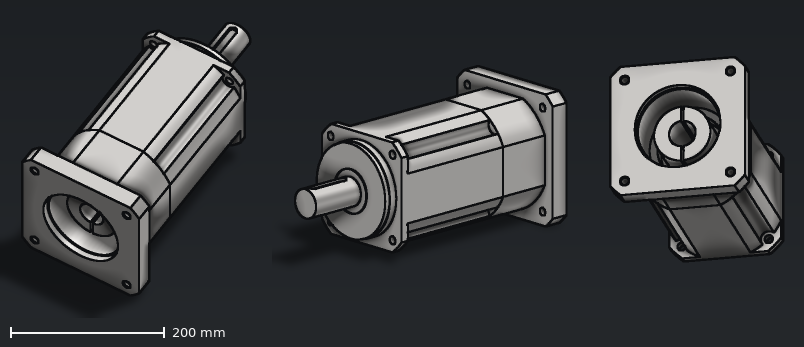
import cadquery as cq


total_length = 384.5
plate_thickness = 25.0
adapter_length = 100.0
output_flange_start = 272.0
output_flange_thickness = 11.5
output_flange_end = output_flange_start + output_flange_thickness
pilot_step = 295.0
pilot_end = 302.5
collar_end = 303.8

plate_size = 180.0
plate_corner_radius = 118.0
body_size = 150.0
body_corner_radius = 82.3
output_flange_corner_radius = 94.5

motor_hole_spacing = 141.5
motor_hole_diameter = 10.5
motor_hole_chamfer = 0.95
chamfer_angle = 45

motor_pilot_radius = 57.3
motor_pilot_depth = 10.0
adapter_bore_radius = 55.5
adapter_floor_depth = 77.0
adapter_floor_hole_radius = 45.0

hub_face = 27.0
hub_radius = 37.5
hub_bore_radius = 17.5
hub_slot_width = 3.5
hub_neck_radius = 34.2
hub_neck_length = 19.2
hub_neck_end = adapter_length + hub_neck_length

mounting_hole_spacing = 116.5
groove_radius = 10.8
mounting_hole_diameter = 10.8

pilot_radius = 65.5
pilot_tip_radius = 64.5
collar_radius = 30.0
shaft_radius = 20.0
keyway_width = 12.0
keyway_length = 65.7
keyway_depth = 5.0
keyway_end_gap = 6.0


def face_at(y):
    """Workplane across the axis at y; extrusions run toward +Y."""
    return cq.Workplane(cq.Plane(origin=(0, y, 0), xDir=(-1, 0, 0), normal=(0, 1, 0)))


def disc(radius, start, end):
    return face_at(start).circle(radius).extrude(end - start)


def trimmed_square(size, corner_radius, start, end):
    square = face_at(start).rect(size, size).extrude(end - start)
    return square.intersect(disc(corner_radius, start, end))


def corner_cylinders(spacing, radius, start, end):
    corners = face_at(start).rect(spacing, spacing, forConstruction=True).vertices()
    return corners.circle(radius).extrude(end - start)


def make_motor_hole_chamfers():
    mouth_radius = motor_hole_diameter / 2 + motor_hole_chamfer
    corners = face_at(0).rect(motor_hole_spacing, motor_hole_spacing, forConstruction=True).vertices()
    return corners.circle(mouth_radius).extrude(motor_hole_chamfer, taper=chamfer_angle)


def make_adapter():
    plate = trimmed_square(plate_size, plate_corner_radius, 0, plate_thickness)
    sleeve = trimmed_square(body_size, body_corner_radius, plate_thickness, adapter_length)
    adapter = plate.union(sleeve)
    adapter = adapter.cut(disc(motor_pilot_radius, 0, motor_pilot_depth))
    adapter = adapter.cut(disc(adapter_bore_radius, 0, adapter_floor_depth))
    adapter = adapter.cut(disc(adapter_floor_hole_radius, 0, adapter_length))
    adapter = adapter.cut(corner_cylinders(motor_hole_spacing, motor_hole_diameter / 2, 0, plate_thickness))
    return adapter.cut(make_motor_hole_chamfers())


def make_keyway():
    middle = total_length - keyway_end_gap - keyway_length / 2
    floor = cq.Workplane("XY", origin=(0, middle, shaft_radius - keyway_depth))
    return floor.slot2D(keyway_length, keyway_width, 90).extrude(shaft_radius)


def make_output_flange():
    start = output_flange_start
    end = output_flange_end
    flange = trimmed_square(body_size, output_flange_corner_radius, start, end)
    return flange.cut(corner_cylinders(mounting_hole_spacing, mounting_hole_diameter / 2, start, end))


def make_gearbox():
    body = trimmed_square(body_size, body_corner_radius, adapter_length, output_flange_start)
    body = body.cut(
        corner_cylinders(mounting_hole_spacing, groove_radius, adapter_length, output_flange_start)
    )
    gearbox = body.union(make_output_flange())
    gearbox = gearbox.union(disc(pilot_radius, output_flange_end, pilot_step))
    gearbox = gearbox.union(disc(pilot_tip_radius, pilot_step, pilot_end))
    gearbox = gearbox.union(disc(collar_radius, pilot_end, collar_end))
    gearbox = gearbox.union(disc(shaft_radius, collar_end, total_length))
    gearbox = gearbox.cut(make_keyway())
    return gearbox.cut(disc(hub_neck_radius, adapter_length, hub_neck_end))


def make_clamp_hub():
    collar_length = adapter_length - hub_face
    slot = face_at(hub_face).rect(hub_slot_width, 2 * hub_radius).extrude(collar_length)
    collar = disc(hub_radius, hub_face, adapter_length).cut(slot)
    hub = collar.union(disc(hub_neck_radius, adapter_length, hub_neck_end))
    return hub.cut(disc(hub_bore_radius, hub_face, hub_neck_end))


adapter = make_adapter()
gearbox = make_gearbox()
clamp_hub = make_clamp_hub()

result = cq.Compound.makeCompound([adapter.val(), gearbox.val(), clamp_hub.val()])